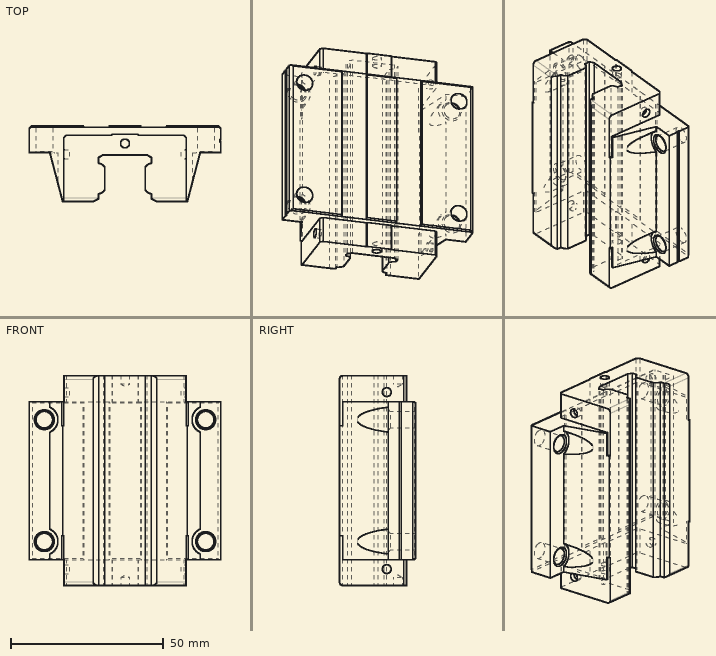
import cadquery as cq
import math


length = 69.0
width = 63.0
height = 25.0

block_length = 51.95
flange_bottom = 16.1
leg_top_half_width = 24.7
leg_bottom_half_width = 20.5
flange_edge_chamfer = 1.0

pad_height = 0.5
groove_inner = 5.3
groove_wall_run = 0.3
groove_outer = 13.5

mark_depth = 0.3
mark_width = 0.7
mark_y = 20.0

cap_width = 40.15
cap_top = 21.9
cap_corner_chamfer = 0.8
cap_end_radius = 1.25
ridge_height = 0.3
ridge_half_width = 4.15
strip_length = 18.1
strip_thickness = 1.05

slot_roof = 15.3
slot_half_width = 8.6
lip_half_width = 6.6
lip_top = 12.6
lip_bottom = 2.55
lip_shoulder = 1.3
lip_crown = 0.3
roof_chamfer_width = 1.45
roof_chamfer_height = 0.8
mouth_half_width = 10.5
mouth_chamfer_height = 1.0

hole_x = 26.5
hole_z = 20.0
hole_diameter = 5.45
hole_mouth_diameter = 6.5
spotface_diameter = 9.0

port_diameter = 2.9
end_port_depth = 2.75
side_port_depth = 1.7
drill_point_angle = 120.0
end_port_y = 19.1
side_port_y = 15.5
side_port_z = 29.05


def extrude_along_rail(points, total_length):
    """Extrude a closed XY outline along Z, centred on Z = 0."""
    return cq.Workplane("XY").polyline(points).close().extrude(total_length / 2, both=True)


def mirrored(right_half):
    """Complete an outline from its +X half, listed from first to last point."""
    return right_half + [(-x, y) for x, y in reversed(right_half)]


def make_block():
    half = width / 2
    block = extrude_along_rail(
        mirrored([
            (leg_bottom_half_width, 0),
            (leg_top_half_width, flange_bottom),
            (half, flange_bottom),
            (half, height - flange_edge_chamfer),
            (half - flange_edge_chamfer, height),
        ]),
        block_length,
    )
    block = block.faces(">Y").edges("|X").chamfer(pad_height)
    for side in (-1, 1):
        groove = [
            (side * groove_inner, height - pad_height),
            (side * (groove_inner - groove_wall_run), height),
            (side * (groove_outer + groove_wall_run), height),
            (side * groove_outer, height - pad_height),
        ]
        block = block.cut(extrude_along_rail(groove, block_length))
    mark = cq.Workplane("XY").box(2 * mark_depth, mark_width, block_length)
    block = block.cut(mark.translate((half, mark_y, 0)))
    relief_length = block_length / 2 - strip_length
    for side in (-1, 1):
        relief = cq.Workplane("XY").box(width, 2 * strip_thickness, relief_length)
        block = block.cut(relief.translate((0, 0, side * (strip_length + relief_length / 2))))
    return block


def make_core():
    """Full-length core: end caps joined through the block."""
    half = cap_width / 2
    core = extrude_along_rail(
        mirrored([
            (half, 0),
            (half, cap_top - cap_corner_chamfer),
            (half - cap_corner_chamfer, cap_top),
            (ridge_half_width + ridge_height, cap_top),
            (ridge_half_width, cap_top + ridge_height),
        ]),
        length,
    )
    return core.faces("<Y").edges("|X").fillet(cap_end_radius)


def make_lip():
    """Lip on the +X slot wall, crowned by an arc on its upper and lower shoulders."""
    return (
        cq.Workplane("XY")
        .moveTo(slot_half_width, lip_bottom)
        .sagittaArc((lip_half_width, lip_bottom + lip_shoulder), lip_crown)
        .lineTo(lip_half_width, lip_top - lip_shoulder)
        .sagittaArc((slot_half_width, lip_top), lip_crown)
        .close()
        .extrude(length / 2, both=True)
    )


def make_slot():
    """Rail slot outline swept along the length, with crowned lips left standing on both walls."""
    slot = extrude_along_rail(
        mirrored([
            (mouth_half_width, 0),
            (slot_half_width, mouth_chamfer_height),
            (slot_half_width, slot_roof - roof_chamfer_height),
            (slot_half_width - roof_chamfer_width, slot_roof),
        ]),
        length,
    )
    return slot.cut(make_lip()).cut(make_lip().mirror("YZ"))


def make_mounting_hole():
    """Through hole with a countersunk mouth and a clearance bore for the screw head beside the leg."""
    hole_radius = hole_diameter / 2
    mouth_radius = hole_mouth_diameter / 2
    spotface_radius = spotface_diameter / 2
    countersink_depth = mouth_radius - hole_radius
    return (
        cq.Workplane("XY")
        .polyline([
            (0, 0),
            (spotface_radius, 0),
            (spotface_radius, flange_bottom),
            (mouth_radius, flange_bottom),
            (hole_radius, flange_bottom + countersink_depth),
            (hole_radius, height),
            (0, height),
        ])
        .close()
        .revolve(360, (0, 0), (0, 1))
    )


def make_end_port():
    """Drilled port with a conical point in the +Z end face."""
    radius = port_diameter / 2
    point = radius / math.tan(math.radians(drill_point_angle / 2))
    port = (
        cq.Workplane("XZ")
        .polyline([(0, 0), (radius, 0), (radius, -end_port_depth), (0, -end_port_depth - point)])
        .close()
        .revolve(360, (0, 0), (0, 1))
    )
    return port.translate((0, end_port_y, length / 2))


def make_side_port():
    """Flat-bottomed port in the +X side of the +Z end cap."""
    port = cq.Workplane("YZ").circle(port_diameter / 2).extrude(side_port_depth)
    return port.translate((cap_width / 2 - side_port_depth, side_port_y, side_port_z))


def cut_at_both_ends(body, tool):
    """Cut a tool and its mirror image about Z = 0."""
    return body.cut(tool).cut(tool.mirror("XY"))


carriage = make_block().union(make_core()).cut(make_slot())

corner_hole = make_mounting_hole().translate((hole_x, 0, hole_z))
for tool in (corner_hole, make_side_port()):
    carriage = cut_at_both_ends(carriage, tool)
    carriage = cut_at_both_ends(carriage, tool.mirror("YZ"))

result = cut_at_both_ends(carriage, make_end_port())